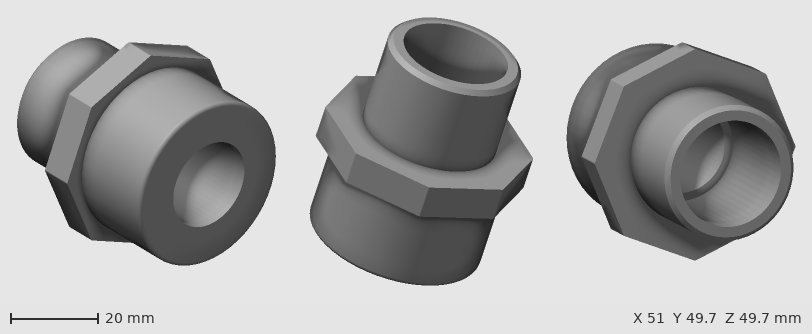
import cadquery as cq
import math

total_length = 51.0
collar_start = 21.95
collar_width = 8.05
collar_end = collar_start + collar_width

spigot_diameter = 32.0
spigot_chamfer = 1.05
body_diameter = 41.0
body_edge_radius = 1.05
collar_sides = 8
collar_across_corners = 49.7
collar_corner_radius = 0.5

entry_bore_diameter = 25.0
through_bore_diameter = 21.2
entry_bore_depth = collar_end


def cylinder(start, end, diameter):
    """Cylinder on the X axis between two axial positions."""
    return cq.Workplane("YZ", origin=(start, 0, 0)).circle(diameter / 2).extrude(end - start)


def octagonal_collar():
    """Octagon with corners on the Y and Z axes and slightly rounded edges."""
    half_corner_turn = math.pi / collar_sides
    rounding_loss = collar_corner_radius * (1 / math.cos(half_corner_turn) - 1)
    sharp_across_corners = collar_across_corners + 2 * rounding_loss
    return (
        cq.Workplane("YZ", origin=(collar_start, 0, 0))
        .polygon(collar_sides, sharp_across_corners)
        .extrude(collar_width)
        .edges("|X")
        .fillet(collar_corner_radius)
    )


spigot = cylinder(0, collar_start, spigot_diameter).faces("<X").edges().chamfer(spigot_chamfer)
body = cylinder(collar_end, total_length, body_diameter).faces(">X").edges().fillet(body_edge_radius)
entry_bore = cylinder(0, entry_bore_depth, entry_bore_diameter)
through_bore = cylinder(0, total_length, through_bore_diameter)

outside = spigot.union(octagonal_collar()).union(body)
result = outside.cut(entry_bore).cut(through_bore)